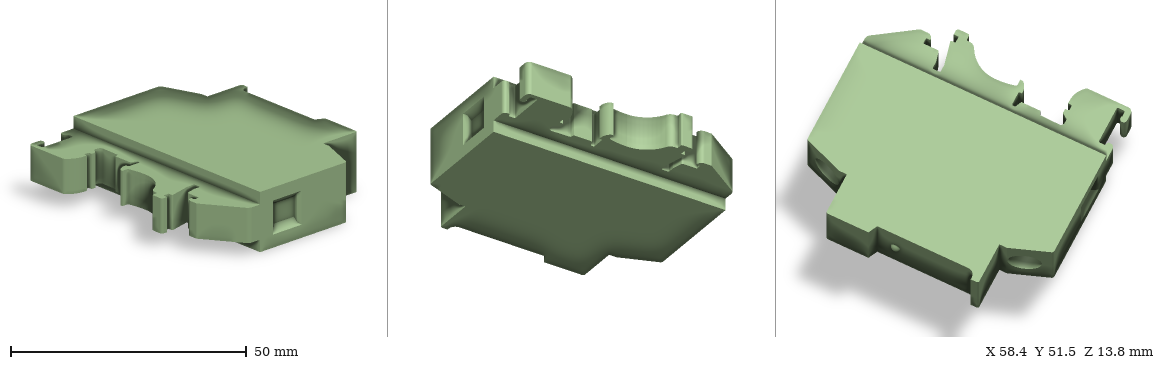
import cadquery as cq
import math

LENGTH = 58.4
HEIGHT = 51.5
THICKNESS = 13.8
MID_X = LENGTH / 2

FOOT_THICKNESS = 8.05
HOUSING_BASE_Y = 13.15
TAB_WIDTH = 36.15
SHOULDER_Y = 41.6
SHOULDER_FLAT = 1.8
SLOPE_END_Y = 38.15
SHOULDER_ROUND = 0.6
TAB_ROUND = 0.45

RECESS_LEFT = 12.95
RECESS_FLOOR_Y = 49.4
RECESS_ROUND = 1.6
RECESS_RIGHT = 36.15
RECESS_RIGHT_TOP = 37.2

LENS_X = 31.8
LENS_RADIUS = 1.15
LENS_RISE = 0.8

SCREW_HOLE_DIAMETER = 6.9
SCREW_HOLE_X = 5.8
SCREW_HOLE_BOTTOM_Y = 32.7

POCKET_DEPTH = 1.6
LEAD_IN_DEPTH = 0.6
POCKET_LOW_Y = 16.8
POCKET_HIGH_Y = 25.1
POCKET_WIDTH = 7.75
POCKET_FLOOR_LOW_Y = 18.45
POCKET_FLOOR_HIGH_Y = 24.35
POCKET_FLOOR_WIDTH = 4.6

CLIP_X = 13.15
CLIP_NOTCH_X = 12.2
TONGUE_LEFT = 38.9
TONGUE_RIGHT = 41.95
TONGUE_NOTCH_X = 40.75
TONGUE_NOTCH_LOW_Y = 1.5
SLOT_TOP_Y = 10.55
SLIT_LEFT = 40.6
SLIT_RIGHT = 42.45
SADDLE_Y = 6.8
SMALL_ROUND = 0.3


def rounded_outline(corners):
    """Closed wire through (x, y, radius) corners, each rounded by a tangent arc when radius > 0."""
    path = None
    count = len(corners)
    for i, (x, y, radius) in enumerate(corners):
        corner = cq.Vector(x, y)
        back = (cq.Vector(*corners[i - 1][:2]) - corner).normalized()
        ahead = (cq.Vector(*corners[(i + 1) % count][:2]) - corner).normalized()
        half_angle = back.getAngle(ahead) / 2
        reach = radius / math.tan(half_angle)
        start = corner + back * reach
        path = cq.Workplane("XY").moveTo(start.x, start.y) if path is None else path.lineTo(start.x, start.y)
        if radius > 0:
            end = corner + ahead * reach
            sag = radius / math.sin(half_angle) - radius
            middle = corner + (back + ahead).normalized() * sag
            path = path.threePointArc((middle.x, middle.y), (end.x, end.y))
    return path.close()


def slab(corners, thickness):
    """Rounded outline extruded equally to both sides of the middle plane."""
    return rounded_outline(corners).extrude(thickness / 2, both=True)


def housing():
    tab_left = MID_X - TAB_WIDTH / 2
    tab_right = MID_X + TAB_WIDTH / 2
    return slab([
        (0, HOUSING_BASE_Y, 0),
        (LENGTH, HOUSING_BASE_Y, 0),
        (LENGTH, SLOPE_END_Y, SHOULDER_ROUND),
        (tab_right + SHOULDER_FLAT, SHOULDER_Y, 0),
        (tab_right, SHOULDER_Y, 0),
        (tab_right, HEIGHT, TAB_ROUND),
        (RECESS_RIGHT_TOP, HEIGHT, 0),
        (RECESS_RIGHT, RECESS_FLOOR_Y, 0),
        (RECESS_LEFT, RECESS_FLOOR_Y, RECESS_ROUND),
        (RECESS_LEFT, HEIGHT, 0),
        (tab_left, HEIGHT, TAB_ROUND),
        (tab_left, SHOULDER_Y, 0),
        (tab_left - SHOULDER_FLAT, SHOULDER_Y, 0),
        (0, SLOPE_END_Y, SHOULDER_ROUND),
    ], THICKNESS)


def foot():
    left_hook = [
        (0, HOUSING_BASE_Y, 0),
        (0, 9.15, 0.8),
        (1.5, 9.15, SMALL_ROUND),
        (1.8, 10.0, SMALL_ROUND),
        (3.4, 10.0, SMALL_ROUND),
        (3.4, 1.1, SMALL_ROUND),
        (1.5, 1.1, SMALL_ROUND),
        (1.5, 2.55, 0),
        (1.7, 2.55, 0),
        (1.7, 3.6, 0.7),
        (0.2, 3.6, 0.7),
        (0.2, 0, 1.1),
    ]
    rail_clip = [
        (11.15, 0, 0.9),
        (CLIP_X, 2.0, 5.25),
        (CLIP_X, 4.9, 0),
        (CLIP_NOTCH_X, 4.9, SMALL_ROUND),
        (CLIP_NOTCH_X, 6.3, SMALL_ROUND),
        (CLIP_X, 6.3, 0),
        (CLIP_X, 7.35, 0),
        (11.75, 8.35, SMALL_ROUND),
        (11.85, 10.1, 0.8),
        (17.3, 10.0, SMALL_ROUND),
        (17.65, 9.05, 0),
        (22.15, 9.05, 0),
        (22.85, SLOT_TOP_Y, SMALL_ROUND),
        (23.65, SLOT_TOP_Y, SMALL_ROUND),
    ]
    middle_barb = [
        (23.65, 7.25, SMALL_ROUND),
        (22.9, 7.25, 0),
        (22.9, 5.6, 2.9),
        (24.0, 4.55, 0),
        (24.65, 4.55, 0),
        (24.65, 6.15, 0.4),
    ]
    saddle = [
        (27.35, SADDLE_Y, 18.1),
        (34.2, SADDLE_Y, 7.95),
        (37.15, TONGUE_NOTCH_LOW_Y, 1.75),
    ]
    tongue = [
        (TONGUE_LEFT, TONGUE_NOTCH_LOW_Y, SMALL_ROUND),
        (TONGUE_LEFT, 0, SMALL_ROUND),
        (TONGUE_RIGHT, 0, 0.6),
        (TONGUE_RIGHT, TONGUE_NOTCH_LOW_Y, 0),
        (TONGUE_NOTCH_X, TONGUE_NOTCH_LOW_Y, 0),
        (TONGUE_NOTCH_X, 3.05, 0),
        (TONGUE_RIGHT, 3.05, SMALL_ROUND),
        (SLIT_LEFT, 8.65, 0),
        (SLIT_LEFT, SLOT_TOP_Y, SMALL_ROUND),
        (SLIT_RIGHT, SLOT_TOP_Y, SMALL_ROUND),
    ]
    right_hook = [
        (SLIT_RIGHT, 8.9, 0),
        (43.1, 6.25, 0.4),
        (46.8, 6.25, 0),
        (46.8, 4.9, SMALL_ROUND),
        (45.8, 4.9, 0),
        (45.8, 3.6, 1.2),
        (48.8, 3.6, 0.6),
        (LENGTH, 10.1, 1.45),
        (LENGTH, HOUSING_BASE_Y, 0),
    ]
    return slab(left_hook + rail_clip + middle_barb + saddle + tongue + right_hook, FOOT_THICKNESS)


def lens():
    return cq.Workplane("XY").sphere(LENS_RADIUS).translate(
        (LENS_X, RECESS_FLOOR_Y + LENS_RISE - LENS_RADIUS, 0))


def screw_hole():
    return (
        cq.Workplane("XZ", origin=(SCREW_HOLE_X, HEIGHT, 0))
        .circle(SCREW_HOLE_DIAMETER / 2)
        .extrude(HEIGHT - SCREW_HOLE_BOTTOM_Y)
    )


def wire_pocket():
    lead_in_share = LEAD_IN_DEPTH / POCKET_DEPTH
    lead_in_low_y = POCKET_LOW_Y + (POCKET_FLOOR_LOW_Y - POCKET_LOW_Y) * lead_in_share
    lead_in_width = POCKET_WIDTH + (POCKET_FLOOR_WIDTH - POCKET_WIDTH) * lead_in_share
    sections = [
        (0, POCKET_LOW_Y, POCKET_HIGH_Y, POCKET_WIDTH),
        (LEAD_IN_DEPTH, lead_in_low_y, POCKET_FLOOR_HIGH_Y, lead_in_width),
        (POCKET_DEPTH, POCKET_FLOOR_LOW_Y, POCKET_FLOOR_HIGH_Y, POCKET_FLOOR_WIDTH),
    ]
    wires = []
    for depth, low_y, high_y, width in sections:
        plane = cq.Workplane("YZ", origin=(depth, (low_y + high_y) / 2, 0))
        wires.append(plane.rect(high_y - low_y, width).wires().val())
    return cq.Workplane(cq.Solid.makeLoft(wires, True))


def on_both_ends(cutter):
    """The cutter together with its mirror image at the opposite end."""
    return cutter.union(cutter.mirror("YZ", (MID_X, 0, 0)))


result = (
    housing()
    .union(foot())
    .union(lens())
    .cut(on_both_ends(screw_hole()))
    .cut(on_both_ends(wire_pocket()))
)